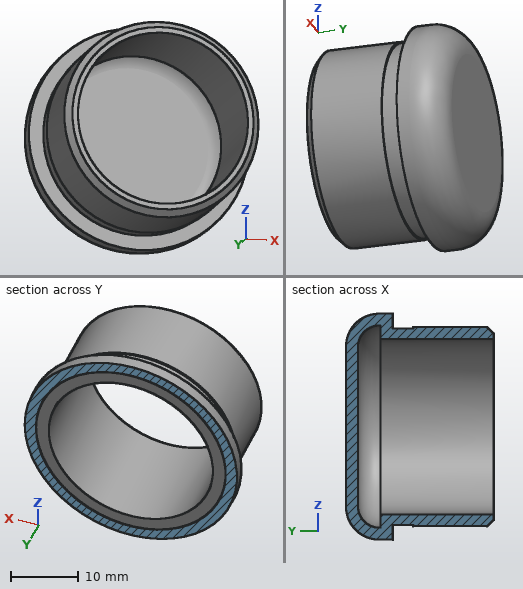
import cadquery as cq


wall = 1.85

head_diameter = 33.7
head_height = 7.0
head_edge_radius = 5.0

neck_diameter = 29.3
neck_length = 3.0
plug_diameter = 29.7
plug_length = 15.0
plug_chamfer = 1.0

bore_diameter = plug_diameter - 2 * wall
cavity_diameter = head_diameter - 2 * wall
cavity_height = head_height - 2 * wall
cavity_edge_radius = head_edge_radius - wall


def domed_disc(diameter, height, edge_radius, base_y):
    """Disc standing on Y = base_y with a round on its +Y edge."""
    disc = cq.Workplane("XZ", origin=(0, base_y, 0)).circle(diameter / 2).extrude(-height)
    return disc.faces(">Y").edges().fillet(edge_radius)


def cylinder_towards_opening(diameter, start_y, length):
    """Cylinder running from Y = start_y in the -Y direction."""
    return cq.Workplane("XZ", origin=(0, start_y, 0)).circle(diameter / 2).extrude(length)


def make_outside():
    """Solid cap: head, relieved neck and plug with a lead-in chamfer."""
    head = domed_disc(head_diameter, head_height, head_edge_radius, 0)
    neck = cylinder_towards_opening(neck_diameter, 0, neck_length)
    plug = cylinder_towards_opening(plug_diameter, -neck_length, plug_length - neck_length)
    plug = plug.faces("<Y").edges().chamfer(plug_chamfer)
    return head.union(neck).union(plug)


def make_hollow():
    """Space inside the cap, keeping the head one wall thick on every side."""
    cavity = domed_disc(cavity_diameter, cavity_height, cavity_edge_radius, wall)
    bore = cylinder_towards_opening(bore_diameter, wall, plug_length + wall)
    return cavity.union(bore)


result = make_outside().cut(make_hollow())